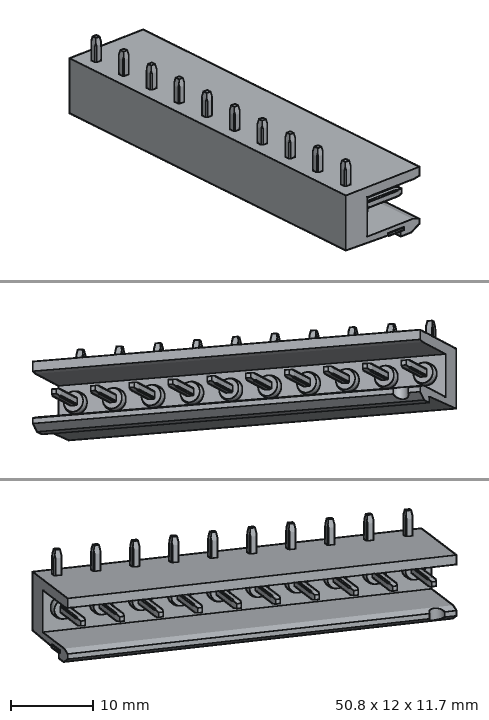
import cadquery as cq
import math

OVERALL_LENGTH = 50.8
END_PAD_THICKNESS = 0.15
HOUSING_LENGTH = OVERALL_LENGTH - END_PAD_THICKNESS
DEPTH = 12.0
OVERALL_HEIGHT = 11.7
SOLDER_PIN_HEIGHT = 3.2
HOUSING_HEIGHT = OVERALL_HEIGHT - SOLDER_PIN_HEIGHT

FRONT_WALL = 3.5
FRONT_HEIGHT = 7.45
UPPER_ARM = 1.35
UPPER_LEAD_IN_LENGTH = 0.85
UPPER_LEAD_IN_RISE = 0.15
SLOT_HEIGHT = 5.35
LOWER_LEAD_IN_LENGTH = 1.15
LOWER_LEAD_IN_DROP = 0.35
HOOK_LENGTH = 3.05
HOOK_DROP = 0.75
NOSE_LENGTH = 1.35
NOSE_RISE = 0.75

LIP_NOTCH_RADIUS = 0.95

PIN_COUNT = 10
PIN_PITCH = 5.1
FIRST_PIN_X = PIN_PITCH / 2
PIN_WIDTH = 1.0
PIN_EDGE_BEVEL = 0.15
PIN_TIP_LENGTH = 1.0
PIN_TIP_INSET = 0.2
PIN_EMBED = 1.0
SOLDER_PIN_Y = 2.1
CONTACT_PIN_DEPTH = 3.7
CONTACT_PIN_REACH = 7.45

COLLAR_DIAMETER = 2.75
COLLAR_LENGTH = 1.05
COLLAR_RIM_LENGTH = 0.35
COLLAR_RIM_INSET = 0.1

END_PAD_LENGTH = 2.6
END_PAD_HEIGHT = 0.35
END_PAD_Y = 6.8
END_PAD_BOTTOM = 0.8


def make_housing():
    """U-shaped profile with a latching hook, swept along the row of pins."""
    slot_top = -UPPER_ARM
    slot_bottom = slot_top - SLOT_HEIGHT
    bottom = -HOUSING_HEIGHT
    profile = [
        (0, 0),
        (DEPTH, 0),
        (DEPTH, slot_top + UPPER_LEAD_IN_RISE),
        (DEPTH - UPPER_LEAD_IN_LENGTH, slot_top),
        (FRONT_WALL, slot_top),
        (FRONT_WALL, slot_bottom),
        (DEPTH - LOWER_LEAD_IN_LENGTH, slot_bottom),
        (DEPTH, slot_bottom - LOWER_LEAD_IN_DROP),
        (DEPTH, bottom + NOSE_RISE),
        (DEPTH - NOSE_LENGTH, bottom),
        (DEPTH - HOOK_LENGTH, bottom),
        (DEPTH - HOOK_LENGTH, bottom + HOOK_DROP),
        (0, -FRONT_HEIGHT),
    ]
    return cq.Workplane("YZ").polyline(profile).close().extrude(HOUSING_LENGTH)


def make_lip_notch():
    """Half-round cutter through the full thickness of the lower arm at its free edge."""
    return (
        cq.Workplane("XY")
        .workplane(offset=-HOUSING_HEIGHT)
        .center(FIRST_PIN_X, DEPTH)
        .circle(LIP_NOTCH_RADIUS)
        .extrude(HOUSING_HEIGHT - UPPER_ARM - SLOT_HEIGHT)
    )


def make_pin(length):
    """Upright square pin with bevelled edges and a tapered tip, sunk PIN_EMBED below Z = 0."""
    tip_angle = math.degrees(math.atan(PIN_TIP_INSET / PIN_TIP_LENGTH))
    straight = PIN_EMBED + length - PIN_TIP_LENGTH
    base = cq.Workplane("XY").workplane(offset=-PIN_EMBED)
    tapered = (
        base.rect(PIN_WIDTH, PIN_WIDTH)
        .extrude(straight)
        .faces(">Z")
        .workplane()
        .rect(PIN_WIDTH, PIN_WIDTH)
        .extrude(PIN_TIP_LENGTH, taper=tip_angle)
    )
    bevelled = (
        base.rect(PIN_WIDTH, PIN_WIDTH)
        .extrude(PIN_EMBED + length)
        .edges("|Z")
        .chamfer(PIN_EDGE_BEVEL)
    )
    return tapered.intersect(bevelled)


def make_collar():
    """Upright round collar standing on Z = 0, with a slightly narrowed rim."""
    rim_angle = math.degrees(math.atan(COLLAR_RIM_INSET / COLLAR_RIM_LENGTH))
    return (
        cq.Workplane("XY")
        .circle(COLLAR_DIAMETER / 2)
        .extrude(COLLAR_LENGTH - COLLAR_RIM_LENGTH)
        .faces(">Z")
        .workplane()
        .circle(COLLAR_DIAMETER / 2)
        .extrude(COLLAR_RIM_LENGTH, taper=rim_angle)
    )


def make_end_pad():
    return cq.Workplane("XY").box(
        END_PAD_THICKNESS, END_PAD_LENGTH, END_PAD_HEIGHT, centered=False
    ).translate((HOUSING_LENGTH, END_PAD_Y, END_PAD_BOTTOM - HOUSING_HEIGHT))


solder_pin = make_pin(SOLDER_PIN_HEIGHT)
contact = make_pin(CONTACT_PIN_REACH).union(make_collar())
contact = contact.rotate((0, 0, 0), (1, 0, 0), -90)

result = make_housing().cut(make_lip_notch()).union(make_end_pad())
for index in range(PIN_COUNT):
    pin_x = FIRST_PIN_X + index * PIN_PITCH
    result = result.union(solder_pin.translate((pin_x, SOLDER_PIN_Y, 0)))
    result = result.union(contact.translate((pin_x, FRONT_WALL, -CONTACT_PIN_DEPTH)))